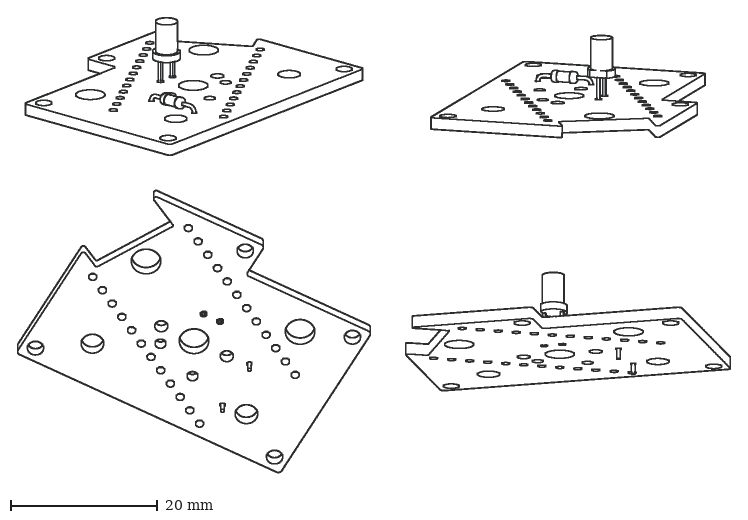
import cadquery as cq
import math


board_thickness = 1.6
board_width = 31.46
board_depth = 40.9
board_left = -18.17
board_right = board_left + board_width
board_bottom = -20.57
board_top = board_bottom + board_depth
step_x = -12.84
step_y = -1.05
notch_corner_x = -15.12
notch_corner_y = 11.42
notch_length = 12.5
notch_tilt = math.radians(28.8)
outer_corner_radius = 0.55
step_corner_radius = 0.45
notch_tip_radius = 0.35
notch_inner_radius = 0.2

mount_hole_diameter = 2.2
mount_holes = [(11.33, 18.39), (-16.21, 0.91), (-10.9, -18.61), (11.28, -18.65)]
switch_hole_diameter = 3.99
switch_peg_diameter = 1.75
switch_peg_offset = 5.08
switch_pin_diameter = 1.47
switch_pins = [(2.54, 3.81), (5.08, -2.54)]
stabilizer_offset = 11.94
stabilizer_large_diameter = 3.99
stabilizer_large_x = -8.25
stabilizer_small_diameter = 3.05
stabilizer_small_x = 6.98
pitch = 2.54
header_hole_diameter = 1.09
header_hole_count = 12
header_row_spacing = 6 * pitch
header_first_x = -2.57
header_first_y = 17.11
header_tilt = math.radians(30)

led_x = -4.52
led_y = -0.3
led_standoff = 3.0
led_body_diameter = 3.0
led_height = 5.3
led_collar_diameter = 3.8
led_collar_height = 1.0
led_flat_offset = 1.45
led_lead_width = 0.4
led_lead_offset = pitch / 2
led_hole_diameter = 0.9

resistor_x = 3.44
resistor_y = -8.38
resistor_cap_diameter = 1.6
resistor_core_diameter = 1.44
resistor_half_length = 1.8
resistor_core_half_length = 0.93
resistor_cap_rounding = 0.4
resistor_lead_diameter = 0.5
resistor_lead_offset = 1.5 * pitch
resistor_lead_protrusion = 1.4
resistor_hole_diameter = 0.7


def board_corner_points():
    """Sharp corners of the board, with the two ends of the notch on the outline."""
    along = (math.cos(notch_tilt), math.sin(notch_tilt))
    lower_inner = (notch_corner_x, notch_corner_y)
    upper_inner = (notch_corner_x + notch_length * along[0], notch_corner_y + notch_length * along[1])
    wing_tip = (board_left, lower_inner[1] + (lower_inner[0] - board_left) / math.tan(notch_tilt))
    upper_tip = (upper_inner[0] - (board_top - upper_inner[1]) * math.tan(notch_tilt), board_top)
    return lower_inner, upper_inner, wing_tip, upper_tip


def round_corners(plate, corners, radius):
    """Fillet the upright edges nearest to the given corners."""
    for x, y in corners:
        nearest = cq.selectors.NearestToPointSelector((x, y, board_thickness / 2))
        plate = plate.edges("|Z").edges(nearest).fillet(radius)
    return plate


def make_blank():
    lower_inner, upper_inner, wing_tip, upper_tip = board_corner_points()
    outer_corners = [
        (board_right, board_top),
        (board_right, board_bottom),
        (step_x, board_bottom),
        (board_left, step_y),
    ]
    step_corner = (step_x, step_y)
    outline = outer_corners[:3] + [
        step_corner,
        outer_corners[3],
        wing_tip,
        lower_inner,
        upper_inner,
        upper_tip,
    ]
    blank = cq.Workplane("XY").polyline(outline).close().extrude(board_thickness)
    blank = round_corners(blank, outer_corners, outer_corner_radius)
    blank = round_corners(blank, [step_corner], step_corner_radius)
    blank = round_corners(blank, [lower_inner, upper_inner], notch_inner_radius)
    return round_corners(blank, [wing_tip, upper_tip], notch_tip_radius)


def drill(plate, centres, diameter):
    drills = cq.Workplane("XY").pushPoints(centres).circle(diameter / 2).extrude(board_thickness)
    return plate.cut(drills)


def header_holes():
    """Two tilted rows of holes for a controller module."""
    step = (pitch * math.sin(header_tilt), -pitch * math.cos(header_tilt))
    across = (-header_row_spacing * math.cos(header_tilt), -header_row_spacing * math.sin(header_tilt))
    return [
        (header_first_x + row * across[0] + i * step[0], header_first_y + row * across[1] + i * step[1])
        for row in range(2)
        for i in range(header_hole_count)
    ]


def led_lead_centres():
    return [(led_x, led_y + side * led_lead_offset) for side in (-1, 1)]


def resistor_lead_centres():
    return [(resistor_x + side * resistor_lead_offset, resistor_y) for side in (-1, 1)]


def make_board():
    plate = make_blank()
    plate = drill(plate, mount_holes, mount_hole_diameter)
    plate = drill(plate, [(0, 0)], switch_hole_diameter)
    plate = drill(plate, [(0, side * switch_peg_offset) for side in (-1, 1)], switch_peg_diameter)
    plate = drill(plate, switch_pins, switch_pin_diameter)
    for x, diameter in (
        (stabilizer_large_x, stabilizer_large_diameter),
        (stabilizer_small_x, stabilizer_small_diameter),
    ):
        plate = drill(plate, [(x, side * stabilizer_offset) for side in (-1, 1)], diameter)
    plate = drill(plate, header_holes(), header_hole_diameter)
    plate = drill(plate, led_lead_centres(), led_hole_diameter)
    return drill(plate, resistor_lead_centres(), resistor_hole_diameter)


def make_led():
    """Round LED with a flatted collar, on two square leads that end at the board underside."""
    collar_z = board_thickness + led_standoff
    base = cq.Workplane("XY", origin=(led_x, led_y, collar_z))
    collar = base.circle(led_collar_diameter / 2).extrude(led_collar_height)
    flat_cutter = (
        base.center(0, led_flat_offset + led_collar_diameter / 2)
        .rect(led_collar_diameter, led_collar_diameter)
        .extrude(led_collar_height)
    )
    body = base.circle(led_body_diameter / 2).extrude(led_height)
    leads = (
        cq.Workplane("XY")
        .pushPoints(led_lead_centres())
        .rect(led_lead_width, led_lead_width)
        .extrude(collar_z)
    )
    return collar.cut(flat_cutter).union(body).union(leads)


def make_resistor():
    """Axial resistor resting on the board, with both leads bent down through it."""
    cap_radius = resistor_cap_diameter / 2
    axis_z = board_thickness + cap_radius
    cap_length = resistor_half_length - resistor_core_half_length
    centre = (resistor_x, resistor_y, axis_z)
    axis_plane = cq.Workplane("YZ", origin=centre)
    core = axis_plane.circle(resistor_core_diameter / 2).extrude(resistor_core_half_length, both=True)
    cap = (
        axis_plane.workplane(offset=resistor_core_half_length)
        .circle(cap_radius)
        .extrude(cap_length)
        .faces(">X")
        .edges()
        .fillet(resistor_cap_rounding)
    )
    body = core.union(cap).union(cap.mirror("YZ", centre))

    bend_radius = cap_radius
    bend_mid = bend_radius * (1 - math.sqrt(0.5))
    lead_drop = axis_z + resistor_lead_protrusion
    end = resistor_lead_offset
    wire_path = (
        cq.Workplane("XZ", origin=centre)
        .moveTo(-end, -lead_drop)
        .lineTo(-end, -bend_radius)
        .threePointArc((-end + bend_mid, -bend_mid), (-end + bend_radius, 0))
        .lineTo(end - bend_radius, 0)
        .threePointArc((end - bend_mid, -bend_mid), (end, -bend_radius))
        .lineTo(end, -lead_drop)
    )
    wire = (
        cq.Workplane("XY", origin=(resistor_x - end, resistor_y, -resistor_lead_protrusion))
        .circle(resistor_lead_diameter / 2)
        .sweep(wire_path)
    )
    return body.union(wire)


board = make_board()
led = make_led()
resistor = make_resistor()

result = cq.Compound.makeCompound([board.val(), led.val(), resistor.val()])